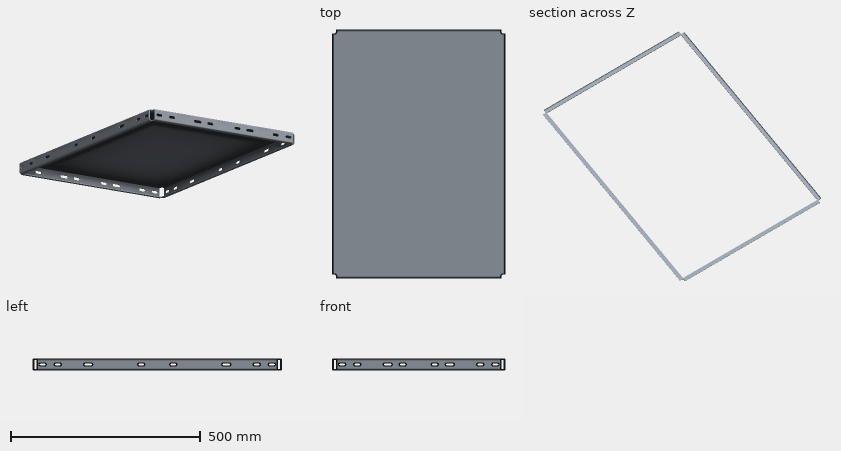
import cadquery as cq

LENGTH_X = 454.0
LENGTH_Y = 654.0
HEIGHT = 30.0
SHEET = 2.0
BEND_RADIUS = 3.0
LIP_WIDTH = 12.0

CORNER_RELIEF = 10.5
RELIEF_FILLET = 5.0

SLOT_HEIGHT = 7.0
SHORT_SLOT = 18.0
LONG_SLOT = 23.0
END_SLOT_INSET = 25.0
END_SLOT_PITCH = 40.0
MIDDLE_SLOT_OFFSET = 42.5
LONG_SLOT_OFFSET_X = 82.0
LONG_SLOT_OFFSET_Y = 182.0


def folded_shell():
    """Rounded box hollowed to sheet thickness, its floor opened to leave the lips."""
    outer = cq.Workplane("XY").box(LENGTH_X, LENGTH_Y, HEIGHT)
    outer = outer.faces("<Z or >Z").edges().fillet(BEND_RADIUS)
    inner = cq.Workplane("XY").box(LENGTH_X - 2 * SHEET, LENGTH_Y - 2 * SHEET, HEIGHT - 2 * SHEET)
    inner = inner.faces("<Z or >Z").edges().fillet(BEND_RADIUS - SHEET)
    floor_opening = (
        cq.Workplane("XY")
        .workplane(offset=-HEIGHT / 2)
        .rect(LENGTH_X - 2 * LIP_WIDTH, LENGTH_Y - 2 * LIP_WIDTH)
        .extrude(HEIGHT / 2)
    )
    return outer.cut(inner).cut(floor_opening)


def corner_reliefs():
    """Round-edged square posts centred on the four corners of the tray."""
    return (
        cq.Workplane("XY")
        .rect(LENGTH_X, LENGTH_Y, forConstruction=True)
        .vertices()
        .rect(2 * CORNER_RELIEF, 2 * CORNER_RELIEF)
        .extrude(HEIGHT, both=True)
        .edges("|Z")
        .fillet(RELIEF_FILLET)
    )


def wall_slots(plane, wall_length, depth, long_slot_offset):
    """Slots mirrored about the wall middle, cut through both opposite walls."""
    end_offset = wall_length / 2 - END_SLOT_INSET
    short_offsets = [MIDDLE_SLOT_OFFSET, end_offset - END_SLOT_PITCH, end_offset]
    slots = cq.Workplane(plane)
    for offsets, slot_length in ((short_offsets, SHORT_SLOT), ([long_slot_offset], LONG_SLOT)):
        centres = [(side * offset, 0) for offset in offsets for side in (-1, 1)]
        cutters = cq.Workplane(plane).pushPoints(centres).slot2D(slot_length, SLOT_HEIGHT)
        slots = slots.add(cutters.extrude(depth / 2, both=True))
    return slots.combine()


result = (
    folded_shell()
    .cut(corner_reliefs())
    .cut(wall_slots("XZ", LENGTH_X, LENGTH_Y, LONG_SLOT_OFFSET_X))
    .cut(wall_slots("YZ", LENGTH_Y, LENGTH_X, LONG_SLOT_OFFSET_Y))
)